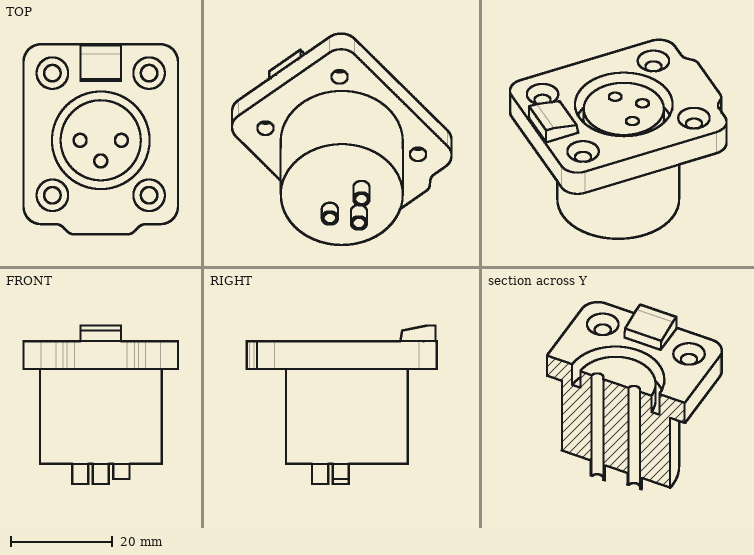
import cadquery as cq


PLATE_WIDTH = 30.4
PLATE_THICKNESS = 5.5
PLATE_BACK_Y = 18.9
PLATE_FRONT_Y = -16.5
PLATE_CORNER_RADIUS = 3.5

TAB_LENGTH = 2.0
TAB_TIP_WIDTH = 12.0
TAB_BLEND_RADIUS = 2.0

SELECTION_MARGIN = 0.1

MOUNT_SPACING_X = 19.0
MOUNT_SPACING_Y = 24.0
MOUNT_CENTER_Y = 1.2
MOUNT_HOLE_DIAMETER = 3.2
COUNTERSINK_DIAMETER = 6.2
COUNTERSINK_ANGLE = 90.0

BARREL_DIAMETER = 24.0
BARREL_LENGTH = 18.6

SOCKET_DIAMETER = 19.2
SOCKET_DEPTH = PLATE_THICKNESS
CORE_DIAMETER = 15.75
CORE_RECESS = 1.15

CONTACT_RADIUS = 4.05
CONTACT_BORE_DIAMETER = 2.5
TERMINAL_DIAMETER = 3.2
LONG_TERMINAL_LENGTH = 4.0
SHORT_TERMINAL_LENGTH = 3.0
CONTACTS = [
    (-CONTACT_RADIUS, 0, LONG_TERMINAL_LENGTH),
    (0, -CONTACT_RADIUS, LONG_TERMINAL_LENGTH),
    (CONTACT_RADIUS, 0, SHORT_TERMINAL_LENGTH),
]

LATCH_WIDTH = 8.0
LATCH_HEIGHT = 3.1
LATCH_BACK_Y = 18.65
LATCH_FLAT_LENGTH = 1.65
LATCH_NOSE_HEIGHT = 2.1
LATCH_NOSE_Y = 12.05
LATCH_FOOT_Y = 11.7

BARREL_END_Z = -PLATE_THICKNESS - BARREL_LENGTH


def cylinder(x, y, diameter, bottom_z, top_z):
    """Vertical cylinder between two heights."""
    disc = cq.Workplane("XY", origin=(x, y, bottom_z)).circle(diameter / 2)
    return disc.extrude(top_z - bottom_z)


def make_plate():
    """Rounded plate with the tab blended into its front edge."""
    half_width = PLATE_WIDTH / 2
    tip_half = TAB_TIP_WIDTH / 2
    root_half = tip_half + TAB_LENGTH
    tip_y = PLATE_FRONT_Y - TAB_LENGTH
    outline = [
        (-half_width, PLATE_BACK_Y),
        (-half_width, PLATE_FRONT_Y),
        (-root_half, PLATE_FRONT_Y),
        (-tip_half, tip_y),
        (tip_half, tip_y),
        (root_half, PLATE_FRONT_Y),
        (half_width, PLATE_FRONT_Y),
        (half_width, PLATE_BACK_Y),
    ]
    plate = cq.Workplane("XY").polyline(outline).close().extrude(-PLATE_THICKNESS)
    plate = plate.edges("|Z and (<X or >X)").fillet(PLATE_CORNER_RADIUS)
    tab_region = cq.selectors.BoxSelector(
        (-root_half - SELECTION_MARGIN, tip_y - SELECTION_MARGIN, -PLATE_THICKNESS),
        (root_half + SELECTION_MARGIN, PLATE_FRONT_Y + SELECTION_MARGIN, 0),
    )
    return plate.edges("|Z").edges(tab_region).fillet(TAB_BLEND_RADIUS)


def cut_mounting_holes(body):
    """Four countersunk holes through the plate."""
    return (
        body.copyWorkplane(cq.Workplane("XY", origin=(0, MOUNT_CENTER_Y, 0)))
        .rect(MOUNT_SPACING_X, MOUNT_SPACING_Y, forConstruction=True)
        .vertices()
        .cskHole(MOUNT_HOLE_DIAMETER, COUNTERSINK_DIAMETER, COUNTERSINK_ANGLE, PLATE_THICKNESS)
    )


def make_latch():
    """Wedge-shaped latch, extruded across the plate."""
    profile = [
        (LATCH_BACK_Y, 0),
        (LATCH_BACK_Y, LATCH_HEIGHT),
        (LATCH_BACK_Y - LATCH_FLAT_LENGTH, LATCH_HEIGHT),
        (LATCH_NOSE_Y, LATCH_NOSE_HEIGHT),
        (LATCH_FOOT_Y, 0),
    ]
    return cq.Workplane("YZ").polyline(profile).close().extrude(LATCH_WIDTH / 2, both=True)


def cut_socket(body):
    """Cut the round socket and leave the recessed core standing in it."""
    pocket = cylinder(0, 0, SOCKET_DIAMETER, -SOCKET_DEPTH, 0)
    core = cylinder(0, 0, CORE_DIAMETER, -SOCKET_DEPTH, -CORE_RECESS)
    return body.cut(pocket.cut(core))


def add_contacts(body):
    """Add the rear terminals and bore each contact from end to end."""
    for x, y, length in CONTACTS:
        end_z = BARREL_END_Z - length
        body = body.union(cylinder(x, y, TERMINAL_DIAMETER, end_z, BARREL_END_Z))
        body = body.cut(cylinder(x, y, CONTACT_BORE_DIAMETER, end_z, 0))
    return body


barrel = cylinder(0, MOUNT_CENTER_Y, BARREL_DIAMETER, BARREL_END_Z, -PLATE_THICKNESS)
flange = cut_mounting_holes(make_plate())
housing = cut_socket(flange.union(barrel).union(make_latch()))
result = add_contacts(housing)